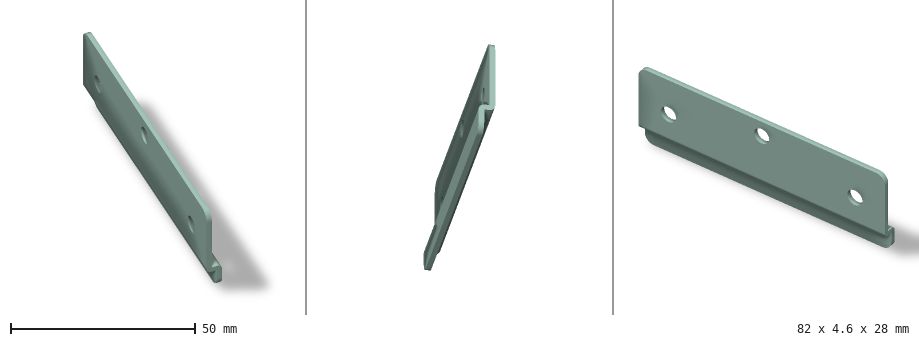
import cadquery as cq

length = 82.0
depth = 4.6
height = 28.0

thickness = 1.55
bend_radius = thickness
step_bottom = 6.4
step_top = step_bottom + thickness

corner_radius = 3.0

hole_diameter = 5.0
center_hole_drop = 5.0
side_hole_drop = 12.0
side_hole_offset = 31.0


def bent_sheet():
    """Z-shaped section in YZ, extruded along the length."""
    front = -depth / 2
    back = depth / 2
    section = (
        cq.Workplane("YZ", origin=(-length / 2, 0, 0))
        .moveTo(back, 0)
        .lineTo(back, step_top - bend_radius)
        .radiusArc((back - bend_radius, step_top), -bend_radius)
        .lineTo(front + thickness, step_top)
        .lineTo(front + thickness, height)
        .lineTo(front, height)
        .lineTo(front, step_bottom + bend_radius)
        .radiusArc((front + bend_radius, step_bottom), -bend_radius)
        .lineTo(back - thickness, step_bottom)
        .lineTo(back - thickness, 0)
        .close()
    )
    return section.extrude(length)


def rounded_outline():
    """Full-depth block whose corners round both flanges."""
    return (
        cq.Workplane("XY")
        .box(length, depth, height, centered=(True, True, False))
        .edges("|Y")
        .fillet(corner_radius)
    )


def mounting_holes():
    """Cylinders for the three holes, running the full depth."""
    centers = [
        (-side_hole_offset, height - side_hole_drop),
        (0, height - center_hole_drop),
        (side_hole_offset, height - side_hole_drop),
    ]
    return (
        cq.Workplane("XZ", origin=(0, depth / 2, 0))
        .pushPoints(centers)
        .circle(hole_diameter / 2)
        .extrude(depth)
    )


result = bent_sheet().intersect(rounded_outline()).cut(mounting_holes())